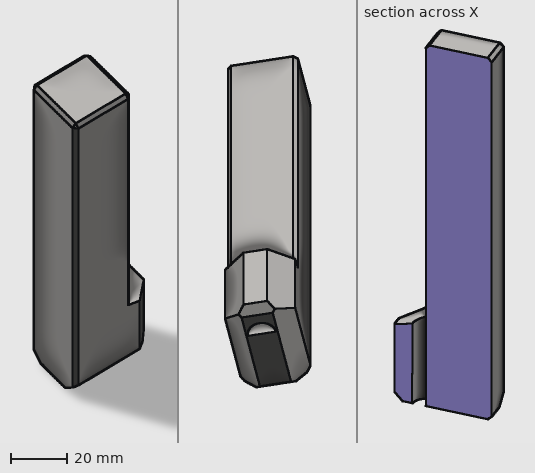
import cadquery as cq
import math

height = 150.0
bar_side = 25.4
depth = 37.4
edge_chamfer = 1.5
foot_side_chamfer = 8.4
bottom_side_chamfer = 7.0
toe_chamfer = 3.2
foot_tip_height = 31.4
foot_slope = 15.0
bore_diameter = 10.0

half_width = bar_side / 2
front_y = -bar_side / 2
bar_back_y = front_y + bar_side
tip_y = front_y + depth
foot_root_y = bar_back_y - edge_chamfer
foot_root_height = foot_tip_height + (tip_y - foot_root_y) * math.tan(math.radians(foot_slope))


def make_bar():
    """Square bar with its upright edges and upper rim chamfered."""
    bar = cq.Workplane("XY").rect(bar_side, bar_side).extrude(height)
    return bar.edges("|Z or >Z").chamfer(edge_chamfer)


def make_foot():
    """Intersect the side, front and plan outlines of the foot."""
    side = (
        cq.Workplane("YZ")
        .moveTo(front_y + edge_chamfer, 0)
        .lineTo(tip_y - toe_chamfer, 0)
        .lineTo(tip_y, toe_chamfer)
        .lineTo(tip_y, foot_tip_height)
        .lineTo(foot_root_y, foot_root_height)
        .lineTo(front_y + edge_chamfer, foot_root_height)
        .close()
        .extrude(half_width, both=True)
    )
    plan = (
        cq.Workplane("XY")
        .moveTo(-half_width, front_y)
        .lineTo(half_width, front_y)
        .lineTo(half_width, tip_y - foot_side_chamfer)
        .lineTo(half_width - foot_side_chamfer, tip_y)
        .lineTo(foot_side_chamfer - half_width, tip_y)
        .lineTo(-half_width, tip_y - foot_side_chamfer)
        .close()
        .extrude(height)
    )
    return side.intersect(plan)


def cut_lower_sides(body):
    """Chamfer both long lower edges, from the front face to the tip."""
    for side in (-1, 1):
        wedge = (
            cq.Workplane("XZ", origin=(0, front_y, 0))
            .moveTo(side * half_width, 0)
            .lineTo(side * half_width, bottom_side_chamfer)
            .lineTo(side * (half_width - bottom_side_chamfer), 0)
            .close()
            .extrude(-depth)
        )
        body = body.cut(wedge)
    return body


def cut_lower_front(body):
    """Chamfer the lower front edge."""
    wedge = (
        cq.Workplane("YZ")
        .moveTo(front_y, 0)
        .lineTo(front_y + edge_chamfer, 0)
        .lineTo(front_y, edge_chamfer)
        .close()
        .extrude(half_width, both=True)
    )
    return body.cut(wedge)


def cut_half_bore(body):
    """Half-round passage through the foot, flat against the back of the bar."""
    radius = bore_diameter / 2
    bore = (
        cq.Workplane("XY")
        .moveTo(-radius, bar_back_y)
        .threePointArc((0, bar_back_y + radius), (radius, bar_back_y))
        .close()
        .extrude(foot_root_height)
    )
    return body.cut(bore)


body = make_bar().union(make_foot())
body = cut_lower_sides(body)
body = cut_lower_front(body)
result = cut_half_bore(body)